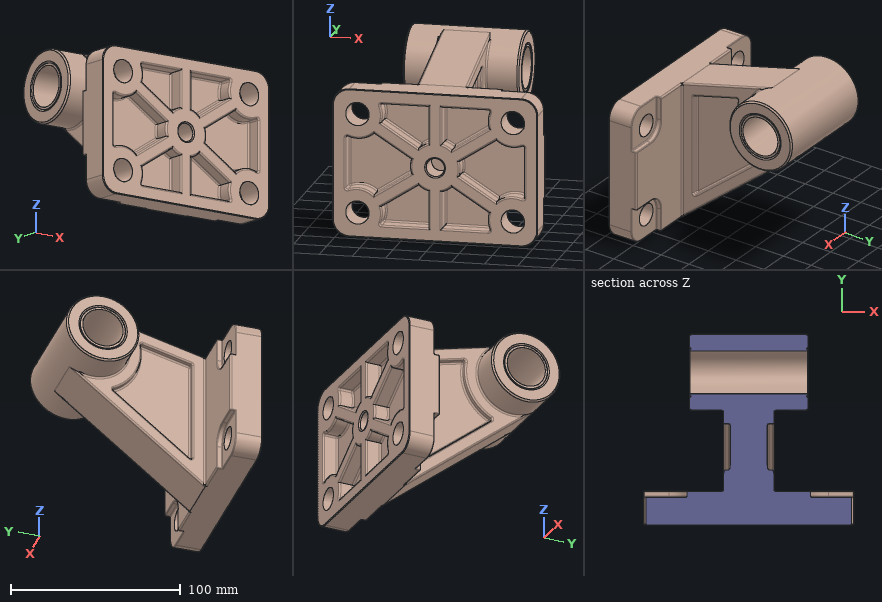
import cadquery as cq
import math

PLATE_WIDTH = 124.0
PLATE_HEIGHT = 90.0
PLATE_DEPTH = 20.0
PLATE_CORNER_RADIUS = 10.0
FRONT_EDGE_CHAMFER = 0.5

HOLE_X = 47.0
HOLE_Z = 30.0
HOLE_DIAMETER = 14.0
SEAT_DEPTH = 3.5
SEAT_RADIUS = 10.5
SEAT_RIM_ROUND = 0.5
SEAT_FLOOR_ROUND = 0.5

CENTRE_HOLE_DIAMETER = 11.0
CENTRE_HOLE_DEPTH = 15.0
CENTRE_HOLE_CHAMFER = 0.75

FRAME_WALL = 8.0
RIB_THICKNESS = 8.0
BOSS_WALL_RADIUS = 15.0
PLATE_POCKET_DEPTH = 9.5
PLATE_POCKET_CORNER_RADIUS = 1.0

BARREL_Y = 90.0
BARREL_Z = 40.0
BARREL_DIAMETER = 45.0
BARREL_LENGTH = 70.0
BARREL_CHAMFER = 1.0
BORE_DIAMETER = 25.0
BUSH_DIAMETER = 28.0
BUSH_GROOVE_DEPTH = 1.0
BUSH_RECESS = 0.25

ARM_WIDTH = 30.0
ARM_POCKET_MARGIN = 8.0
ARM_POCKET_DEPTH = 4.0
ARM_POCKET_CORNER_RADIUS = 1.0

ROUND = 1.0
BARREL_RADIUS = BARREL_DIAMETER / 2
HOLE_CENTRES = [(sx * HOLE_X, sz * HOLE_Z) for sx in (-1, 1) for sz in (-1, 1)]


def block(x_min, x_max, y_min, y_max, z_min, z_max):
    """Box given by its limits."""
    size = (x_max - x_min, y_max - y_min, z_max - z_min)
    return cq.Workplane("XY").box(*size, centered=False).translate((x_min, y_min, z_min))


def rod_along_y(x, z, radius, y_min, y_max):
    """Cylinder parallel to Y."""
    axis = cq.Vector(0, 1, 0)
    return cq.Workplane(cq.Solid.makeCylinder(radius, y_max - y_min, cq.Vector(x, y_min, z), axis))


def rod_along_x(radius, half_length):
    """Cylinder on the barrel axis, centred on X = 0."""
    start = cq.Vector(-half_length, BARREL_Y, BARREL_Z)
    return cq.Workplane(cq.Solid.makeCylinder(radius, 2 * half_length, start, cq.Vector(1, 0, 0)))


def nearest(x, y, z):
    """Selector for the edge whose centre lies closest to a point."""
    return cq.selectors.NearestToPointSelector((x, y, z))


def make_plate():
    half_width = PLATE_WIDTH / 2
    half_height = PLATE_HEIGHT / 2
    plate = block(-half_width, half_width, 0, PLATE_DEPTH, -half_height, half_height)
    plate = plate.edges("|Y").fillet(PLATE_CORNER_RADIUS)
    plate = plate.faces("<Y").edges().chamfer(FRONT_EDGE_CHAMFER)
    return plate.faces(">Y").edges().fillet(ROUND)


def cut_seat(plate, x, z):
    """Lowered seat behind one bolt hole, open to the two nearest sides of the plate."""
    side_x = math.copysign(1, x)
    side_z = math.copysign(1, z)
    inner_x = x - side_x * SEAT_RADIUS
    inner_z = z - side_z * SEAT_RADIUS
    outer_x = side_x * PLATE_WIDTH
    outer_z = side_z * PLATE_HEIGHT
    seat_y = PLATE_DEPTH - SEAT_DEPTH
    seat = block(
        min(inner_x, outer_x), max(inner_x, outer_x), seat_y, PLATE_DEPTH,
        min(inner_z, outer_z), max(inner_z, outer_z),
    )
    seat = seat.edges("|Y").edges(nearest(inner_x, seat_y, inner_z)).fillet(SEAT_RADIUS)
    seat = seat.faces("<Y").edges(nearest(inner_x, seat_y, inner_z)).fillet(SEAT_FLOOR_ROUND)
    arc_reach = SEAT_RADIUS * math.sqrt(0.5)
    rim = nearest(x - side_x * arc_reach, PLATE_DEPTH, z - side_z * arc_reach)
    return plate.cut(seat).edges(rim).fillet(SEAT_RIM_ROUND)


def drill_holes(plate):
    for x, z in HOLE_CENTRES:
        plate = plate.cut(rod_along_y(x, z, HOLE_DIAMETER / 2, 0, PLATE_DEPTH))
    plate = plate.cut(rod_along_y(0, 0, CENTRE_HOLE_DIAMETER / 2, 0, CENTRE_HOLE_DEPTH))
    return plate.edges(nearest(0, 0, 0)).chamfer(CENTRE_HOLE_CHAMFER)


def arm_outline(margin):
    """Arm profile in the YZ plane, moved inwards by margin: two sides tangent to the barrel."""
    corners = []
    for side in (1, -1):
        foot_z = side * PLATE_HEIGHT / 2
        dy = BARREL_Y - PLATE_DEPTH
        dz = BARREL_Z - foot_z
        slope = math.atan2(dz, dy) + side * math.asin(BARREL_RADIUS / math.hypot(dy, dz))
        radius = BARREL_RADIUS - margin
        tangent = (BARREL_Y - side * radius * math.sin(slope), BARREL_Z + side * radius * math.cos(slope))
        foot_y = PLATE_DEPTH + margin
        foot = (foot_y, tangent[1] + (foot_y - tangent[0]) * math.tan(slope))
        corners.append((foot, tangent))
    (top_foot, top_tangent), (bottom_foot, bottom_tangent) = corners
    return [top_foot, top_tangent, (BARREL_Y, BARREL_Z), bottom_tangent, bottom_foot]


def extrude_profile(points, x_min, x_max):
    """Prism along X from a closed outline of (y, z) points."""
    return cq.Workplane("YZ").polyline(points).close().extrude(x_max - x_min).translate((x_min, 0, 0))


def make_arm():
    """Arm with its four long edges rounded."""
    outline = arm_outline(0)
    arm = extrude_profile(outline, -ARM_WIDTH / 2, ARM_WIDTH / 2)
    top_foot, top_tangent, _, bottom_tangent, bottom_foot = outline
    for start, end in ((top_foot, top_tangent), (bottom_foot, bottom_tangent)):
        middle_y = (start[0] + end[0]) / 2
        middle_z = (start[1] + end[1]) / 2
        for x in (-ARM_WIDTH / 2, ARM_WIDTH / 2):
            arm = arm.edges(nearest(x, middle_y, middle_z)).fillet(ROUND)
    return arm


def make_arm_root():
    """Foot of the arm sunk into the plate, with concave rounds along both flanks."""
    flank_x = ARM_WIDTH / 2
    half_height = PLATE_HEIGHT / 2
    foot = block(-flank_x, flank_x, PLATE_DEPTH - ROUND, PLATE_DEPTH, -half_height, half_height)
    round_x = flank_x + ROUND
    round_y = PLATE_DEPTH + ROUND
    round_z = half_height - ROUND
    rounds = block(-round_x, round_x, PLATE_DEPTH - ROUND, round_y, -round_z, round_z)
    for x in (-round_x, round_x):
        start = cq.Vector(x, round_y, -round_z)
        hollow = cq.Solid.makeCylinder(ROUND, 2 * round_z, start, cq.Vector(0, 0, 1))
        rounds = rounds.cut(cq.Workplane(hollow))
    return foot.union(rounds)


def make_barrel():
    """Solid barrel with chamfered ends."""
    barrel = rod_along_x(BARREL_RADIUS, BARREL_LENGTH / 2)
    return barrel.faces("<X or >X").edges().chamfer(BARREL_CHAMFER)


def make_barrel_root():
    """Concave round where the barrel leaves both flanks of the arm."""
    flank_x = ARM_WIDTH / 2
    ring = rod_along_x(BARREL_RADIUS + ROUND, flank_x + ROUND)
    for side in (-1, 1):
        centre = cq.Vector(side * (flank_x + ROUND), BARREL_Y, BARREL_Z)
        ring = ring.cut(
            cq.Workplane(cq.Solid.makeTorus(BARREL_RADIUS + ROUND, ROUND, centre, cq.Vector(1, 0, 0)))
        )
    envelope = extrude_profile(arm_outline(ROUND), -flank_x - ROUND, flank_x + ROUND)
    return ring.intersect(envelope)


def make_bore():
    """Through bore, with a chamfered groove around the bush at each end."""
    half_length = BARREL_LENGTH / 2
    bush_radius = BUSH_DIAMETER / 2
    bush = rod_along_x(bush_radius, half_length - BUSH_RECESS)
    cutter = rod_along_x(BORE_DIAMETER / 2, half_length)
    for side in (-1, 1):
        start = cq.Vector(side * half_length, BARREL_Y, BARREL_Z)
        inwards = cq.Vector(-side, 0, 0)
        mouth_radius = bush_radius + BUSH_GROOVE_DEPTH
        mouth = cq.Solid.makeCone(mouth_radius, bush_radius, BUSH_GROOVE_DEPTH, start, inwards)
        cutter = cutter.union(cq.Workplane(mouth).cut(bush))
    return cutter


def plate_pocket_cutter():
    """Six pockets: the area inside the frame, less the bosses and the three crossing ribs."""
    wall_x = PLATE_WIDTH / 2 - FRAME_WALL
    wall_z = PLATE_HEIGHT / 2 - FRAME_WALL
    depth = PLATE_POCKET_DEPTH
    cutter = block(-wall_x, wall_x, 0, depth, -wall_z, wall_z)
    for x, z in HOLE_CENTRES + [(0, 0)]:
        cutter = cutter.cut(rod_along_y(x, z, BOSS_WALL_RADIUS, 0, depth))
    half_rib = RIB_THICKNESS / 2
    rib = block(-PLATE_WIDTH, PLATE_WIDTH, 0, depth, -half_rib, half_rib)
    bolt_angle = math.degrees(math.atan2(HOLE_Z, HOLE_X))
    for angle in (90, bolt_angle, -bolt_angle):
        cutter = cutter.cut(rib.rotate((0, 0, 0), (0, 1, 0), angle))

    boss_x = HOLE_X - math.sqrt(BOSS_WALL_RADIUS**2 - (wall_z - HOLE_Z) ** 2)
    boss_z = HOLE_Z - math.sqrt(BOSS_WALL_RADIUS**2 - (wall_x - HOLE_X) ** 2)
    for x, z in HOLE_CENTRES:
        for corner_x, corner_z in ((boss_x, wall_z), (wall_x, boss_z)):
            corner = nearest(math.copysign(corner_x, x), depth / 2, math.copysign(corner_z, z))
            cutter = cutter.edges(corner).fillet(PLATE_POCKET_CORNER_RADIUS)
    return cutter.faces(">Y").edges().fillet(ROUND)


def cut_plate_pockets(plate):
    plate = plate.cut(plate_pocket_cutter())
    zone_x = (PLATE_WIDTH - FRAME_WALL) / 2
    zone_z = (PLATE_HEIGHT - FRAME_WALL) / 2
    zone_y = ROUND / 2
    mouth_zone = cq.selectors.BoxSelector(
        (-zone_x, -zone_y, -zone_z), (zone_x, zone_y, zone_z), boundingbox=True
    )
    return plate.edges(mouth_zone).fillet(ROUND)


def cut_arm_pocket(arm, side):
    """Pocket in one flank of the arm."""
    face_x = side * ARM_WIDTH / 2
    floor_x = face_x - side * ARM_POCKET_DEPTH
    cutter = extrude_profile(arm_outline(ARM_POCKET_MARGIN), min(face_x, floor_x), max(face_x, floor_x))
    cutter = cutter.cut(rod_along_x(BARREL_RADIUS + ARM_POCKET_MARGIN, ARM_WIDTH))
    cutter = cutter.edges("|X").fillet(ARM_POCKET_CORNER_RADIUS)
    cutter = cutter.faces("<X" if side > 0 else ">X").edges().fillet(ROUND)
    arm = arm.cut(cutter)

    half_margin = ARM_POCKET_MARGIN / 2
    zone_x = ROUND / 2
    mouth_zone = cq.selectors.BoxSelector(
        (face_x - zone_x, PLATE_DEPTH + half_margin, -PLATE_HEIGHT / 2 + half_margin),
        (face_x + zone_x, BARREL_Y - half_margin, BARREL_Z + BARREL_RADIUS - half_margin),
        boundingbox=True,
    )
    return arm.edges(mouth_zone).fillet(ROUND)


plate = make_plate()
for hole_x, hole_z in HOLE_CENTRES:
    plate = cut_seat(plate, hole_x, hole_z)
plate = cut_plate_pockets(plate)
plate = drill_holes(plate)

arm = make_arm()
for side in (-1, 1):
    arm = cut_arm_pocket(arm, side)

barrel = make_barrel().union(make_barrel_root())
result = plate.union(arm.union(barrel)).union(make_arm_root()).cut(make_bore())